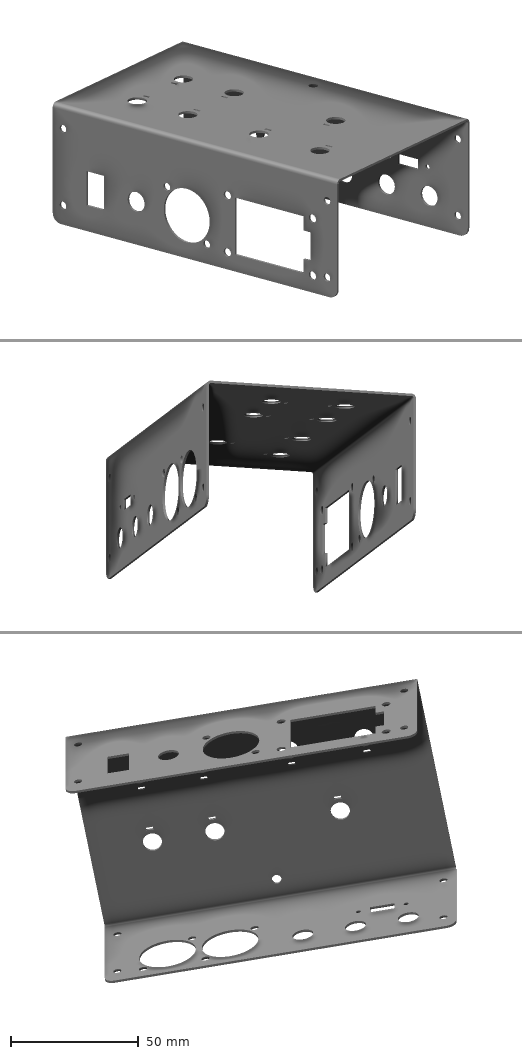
import cadquery as cq

length = 140.0
depth = 85.5
height = 50.0
sheet = 1.0
bend_radius = 1.8
corner_radius = 3.9

cut_reach = 4.2

corner_hole_diameter = 3.2
corner_hole_x = 65.0
corner_hole_low_z = 8.0
corner_hole_high_z = 40.2

connector_diameter = 22.5
connector_screw_diameter = 3.2
connector_screw_offset = 9.8
front_connector = (-4.0, 17.9)
back_connectors = [(-45.0, 16.0), (-20.0, 16.0)]

front_row_z = front_connector[1]
switch_x = -49.0
switch_width = 8.5
switch_height = 14.4
jack_diameter = 8.3
front_jack_x = -29.0
inlet_left_x = 19.7
inlet_width = 33.7
inlet_height = 24.0
inlet_z = 19.0
notch_width = 3.4
notch_height = 12.0
inlet_screw_diameter = 3.5
inlet_screw_x = 36.8
inlet_screw_spacing = 41.9

back_jack_xs = [9.0, 30.0, 51.0]
back_jack_z = 13.0
socket_x = 40.6
socket_z = 25.0
socket_width = 9.8
socket_height = 4.3
socket_screw_diameter = 2.0
socket_screw_spacing = 19.0

control_diameter = 7.5
rear_control_y = 9.0
rear_control_xs = [-45.0, -20.0, 30.0]
front_control_y = -21.0
front_control_xs = [-45.0, -20.0, 15.0, 45.0]
slot_offset = 6.0
slot_width = 2.8
slot_height = 1.1
top_hole_diameter = 3.8
top_hole_y = 33.9


def make_shell():
    """U-shaped sheet with rounded bends and rounded lower wall corners."""
    outer = cq.Workplane("XY").box(length, depth, height, centered=(True, True, False))
    outer = outer.edges("|X and >Z").fillet(bend_radius)
    inner_depth = depth - 2 * sheet
    inner_height = height - sheet
    inner = cq.Workplane("XY").box(length, inner_depth, inner_height, centered=(True, True, False))
    inner = inner.edges("|X and >Z").fillet(bend_radius - sheet)
    return outer.cut(inner).edges("|Y and <Z").fillet(corner_radius)


def wall_plane(wall_y):
    """Workplane in a vertical wall, with local axes along X and Z."""
    return cq.Workplane("XZ", origin=(0, wall_y, 0))


def round_cutter(plane, points, diameter):
    return plane.pushPoints(points).circle(diameter / 2).extrude(cut_reach, both=True)


def rect_cutter(plane, points, width, tall):
    return plane.pushPoints(points).rect(width, tall).extrude(cut_reach, both=True)


def corner_cutter(wall):
    points = [
        (side * corner_hole_x, z)
        for side in (-1, 1)
        for z in (corner_hole_low_z, corner_hole_high_z)
    ]
    return round_cutter(wall, points, corner_hole_diameter)


def connector_cutter(wall, center, screw_side):
    """Large bore with two diagonal screws; screw_side is the X side of the upper screw."""
    x, z = center
    screws = [
        (x + end * screw_side * connector_screw_offset, z + end * connector_screw_offset)
        for end in (-1, 1)
    ]
    bore = round_cutter(wall, [center], connector_diameter)
    return bore.union(round_cutter(wall, screws, connector_screw_diameter))


def inlet_cutter(wall):
    """Rectangular window with a notch on its +X side and four screws around it."""
    window_x = inlet_left_x + inlet_width / 2
    window = rect_cutter(wall, [(window_x, inlet_z)], inlet_width, inlet_height)
    notch_x = inlet_left_x + inlet_width
    notch = rect_cutter(wall, [(notch_x, inlet_z)], 2 * notch_width, notch_height)
    screws = [
        (inlet_screw_x + x_side * inlet_screw_spacing / 2, inlet_z + z_side * inlet_height / 2)
        for x_side in (-1, 1)
        for z_side in (-1, 1)
    ]
    return window.union(notch).union(round_cutter(wall, screws, inlet_screw_diameter))


def cut_front_wall(body):
    wall = wall_plane(-depth / 2)
    body = body.cut(corner_cutter(wall))
    body = body.cut(rect_cutter(wall, [(switch_x, front_row_z)], switch_width, switch_height))
    body = body.cut(round_cutter(wall, [(front_jack_x, front_row_z)], jack_diameter))
    body = body.cut(connector_cutter(wall, front_connector, screw_side=-1))
    return body.cut(inlet_cutter(wall))


def cut_back_wall(body):
    wall = wall_plane(depth / 2)
    body = body.cut(corner_cutter(wall))
    for center in back_connectors:
        body = body.cut(connector_cutter(wall, center, screw_side=1))
    jacks = [(x, back_jack_z) for x in back_jack_xs]
    body = body.cut(round_cutter(wall, jacks, jack_diameter))
    body = body.cut(rect_cutter(wall, [(socket_x, socket_z)], socket_width, socket_height))
    screws = [(socket_x + side * socket_screw_spacing / 2, socket_z) for side in (-1, 1)]
    return body.cut(round_cutter(wall, screws, socket_screw_diameter))


def cut_top_panel(body):
    panel = cq.Workplane("XY", origin=(0, 0, height))
    body = body.cut(round_cutter(panel, [(0, top_hole_y)], top_hole_diameter))
    control_rows = [
        (rear_control_xs, rear_control_y, -slot_offset),
        (front_control_xs, front_control_y, slot_offset),
    ]
    for xs, row_y, slot_shift in control_rows:
        controls = [(x, row_y) for x in xs]
        slots = [(x, row_y + slot_shift) for x in xs]
        body = body.cut(round_cutter(panel, controls, control_diameter))
        body = body.cut(rect_cutter(panel, slots, slot_width, slot_height))
    return body


result = cut_top_panel(cut_back_wall(cut_front_wall(make_shell())))